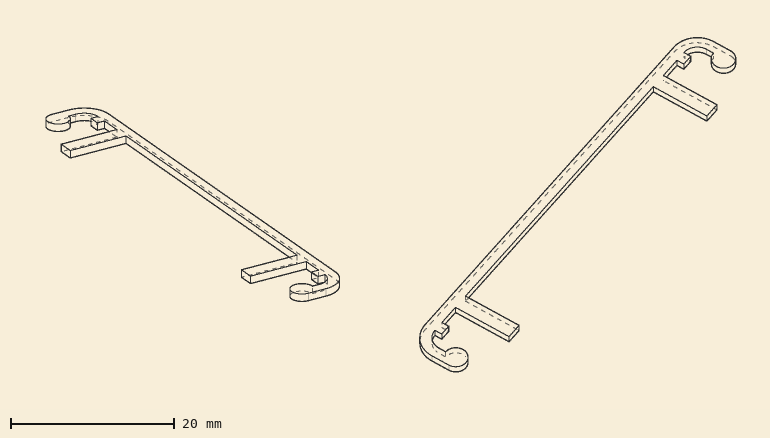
import cadquery as cq

LENGTH = 60.0
DEPTH = 9.5
THICKNESS = 1.0

WALL = 1.5
CORNER_RADIUS = 3.5
BEAD_RADIUS = 1.5
BEAD_DROP = 6.0

LEG_INSET = 7.85
LEG_WIDTH = 2.15
TAB_INSET = CORNER_RADIUS
TAB_WIDTH = 1.5
TAB_DROP = 2.5

BACK_Y = DEPTH / 2
HALF_LENGTH = LENGTH / 2
BEAD_Y = BACK_Y - BEAD_DROP


def block(x_min, x_max, y_min, y_max):
    """Full-thickness rectangular block, centred on Z = 0."""
    return (
        cq.Workplane("XY")
        .box(x_max - x_min, y_max - y_min, THICKNESS)
        .translate(((x_min + x_max) / 2, (y_min + y_max) / 2, 0))
    )


def rounded_block(half_width, back_y, radius):
    """Block reaching forward to the bead centres, with its two back corners rounded."""
    return block(-half_width, half_width, BEAD_Y, back_y).edges("|Z and >Y").fillet(radius)


def bead(x):
    """Round end of a side wall."""
    return (
        cq.Workplane("XY", origin=(x, BEAD_Y, -THICKNESS / 2))
        .circle(BEAD_RADIUS)
        .extrude(THICKNESS)
    )


def finger(side, inset, width, drop):
    """Straight projection from the bar; side is -1 for the -X end and 1 for the +X end."""
    x_sides = sorted((side * (HALF_LENGTH - inset), side * (HALF_LENGTH - inset - width)))
    return block(*x_sides, BACK_Y - drop, BACK_Y - WALL / 2)


outer = rounded_block(HALF_LENGTH, BACK_Y, CORNER_RADIUS)
inner = rounded_block(HALF_LENGTH - WALL, BACK_Y - WALL, CORNER_RADIUS - WALL)
result = outer.cut(inner)

for side in (-1, 1):
    result = result.union(bead(side * (HALF_LENGTH - BEAD_RADIUS)))
    result = result.union(finger(side, LEG_INSET, LEG_WIDTH, DEPTH))
    result = result.union(finger(side, TAB_INSET, TAB_WIDTH, TAB_DROP))